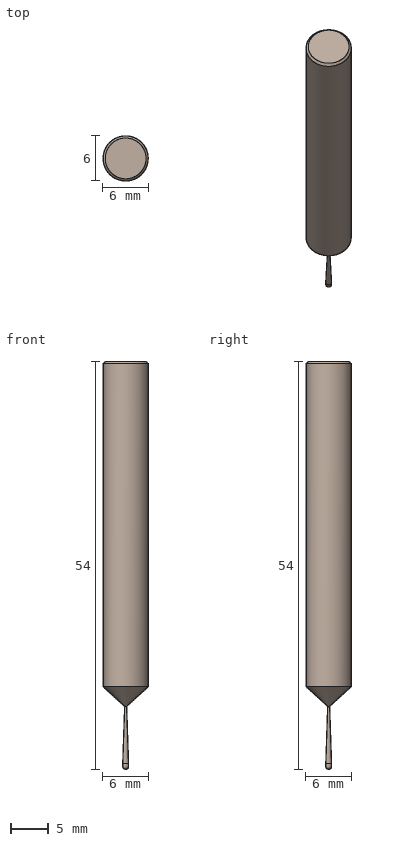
import cadquery as cq

total_length = 54.0
shank_radius = 3.0
shank_chamfer = 0.3
shank_start = 10.94
tip_radius = 0.4
cutting_length = 2 * tip_radius
neck_top_radius = 0.15
neck_top = 8.35


def make_cutting_tip():
    """Ball nose with a short cylinder above it, standing on the origin."""
    profile = (
        cq.Workplane("XZ")
        .radiusArc((tip_radius, tip_radius), -tip_radius)
        .lineTo(tip_radius, cutting_length)
        .lineTo(0, cutting_length)
        .close()
    )
    return profile.revolve(360, (0, 0), (0, 1))


def make_holder():
    """Tapered neck, shoulder cone and chamfered shank above the cutting tip."""
    profile = (
        cq.Workplane("XZ")
        .moveTo(0, cutting_length)
        .lineTo(tip_radius, cutting_length)
        .lineTo(neck_top_radius, neck_top)
        .lineTo(shank_radius, shank_start)
        .lineTo(shank_radius, total_length - shank_chamfer)
        .lineTo(shank_radius - shank_chamfer, total_length)
        .lineTo(0, total_length)
        .close()
    )
    return profile.revolve(360, (0, 0), (0, 1))


cutting_tip = make_cutting_tip()
holder = make_holder()

result = cq.Compound.makeCompound([cutting_tip.val(), holder.val()])